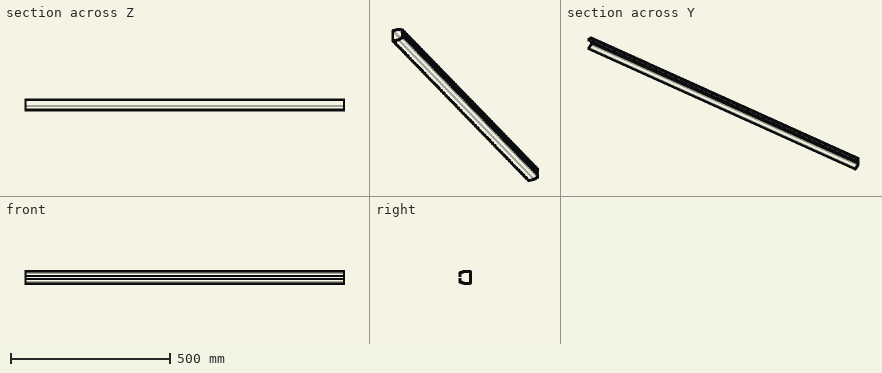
import math

import cadquery as cq

length = 1000.0
depth = 35.0
height = 40.0

wall = 2.75
slope_start_y = -4.0
slope_drop = 5.0
slot_width = 10.0
back_radius = 4.5
bend_radius = 8.0
lip_radius = 3.2

back_y = depth / 2
front_y = -depth / 2
slope = math.atan2(slope_drop, slope_start_y - front_y)


def make_envelope(inset):
    """Bar whose rounded section lies a constant distance inside the outer outline."""
    top = height / 2 - inset
    back = back_y - inset
    front = front_y + inset
    bend_y = slope_start_y + inset * math.tan(slope / 2)
    lip_top = top - (bend_y - front) * math.tan(slope)
    body = (
        cq.Workplane("YZ")
        .polyline([
            (back, -top),
            (back, top),
            (bend_y, top),
            (front, lip_top),
            (front, -lip_top),
            (bend_y, -top),
        ])
        .close()
        .extrude(length / 2, both=True)
    )
    bend_lines = cq.selectors.BoxSelector(
        (-length, front + lip_radius, -height),
        (length, back - back_radius, height),
    )
    body = body.edges("|X").edges(bend_lines).fillet(bend_radius - inset)
    body = body.faces(">Y").edges("|X").fillet(back_radius - inset)
    return body.faces("<Y").edges("|X").fillet(lip_radius - inset)


def make_slot():
    """Opening through the front wall that leaves the two lips."""
    cutter_depth = 2 * wall + lip_radius
    return (
        cq.Workplane("XY")
        .box(length, cutter_depth, slot_width)
        .translate((0, front_y, 0))
    )


result = make_envelope(0).cut(make_envelope(wall)).cut(make_slot())